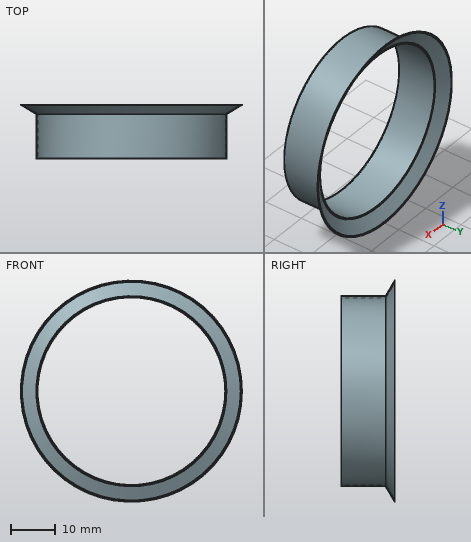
import cadquery as cq

flange_diameter = 49.85
sleeve_diameter = 42.9
bore_diameter = 42.2
total_length = 12.1
flange_length = 2.1

flange_radius = flange_diameter / 2
sleeve_radius = sleeve_diameter / 2
bore_radius = bore_diameter / 2
sleeve_length = total_length - flange_length

wall = sleeve_radius - bore_radius
inner_rim_radius = flange_radius - wall

half_section = (
    cq.Workplane("XY")
    .moveTo(bore_radius, 0)
    .lineTo(sleeve_radius, 0)
    .lineTo(sleeve_radius, sleeve_length)
    .lineTo(flange_radius, total_length)
    .lineTo(inner_rim_radius, total_length)
    .lineTo(bore_radius, sleeve_length)
    .close()
)

result = half_section.revolve(360, (0, 0, 0), (0, 1, 0))